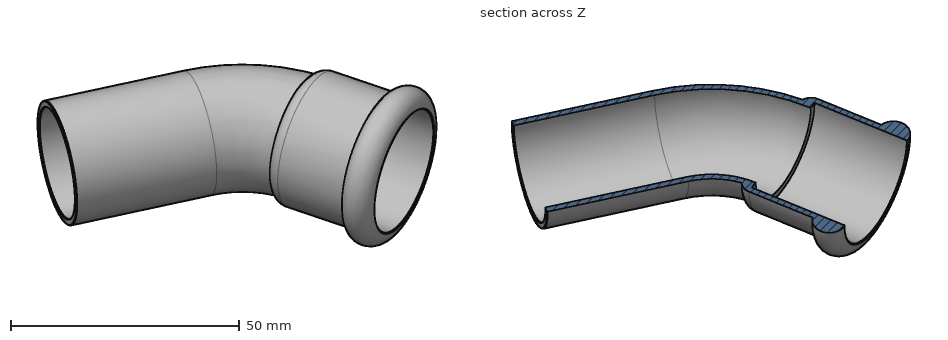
import cadquery as cq
import math


bend_angle = 45.0
bend_radius = 32.5
tube_diameter = 28.0
tube_bore = 25.0
spigot_length = 32.2
socket_diameter = 31.4
socket_bore = 28.4
socket_depth = 23.2
shoulder_arc_radius = 3.1
bead_diameter = 36.7
bead_arc_radius = 3.75
edge_chamfer = 0.2

tube_radius = tube_diameter / 2
socket_radius = socket_diameter / 2
bead_arc_center_radius = bead_diameter / 2 - bead_arc_radius
turn = math.radians(bend_angle)
bend_tangent_length = bend_radius * math.tan(turn / 2)
bend_start_x = bend_tangent_length
socket_end_x = bend_start_x + socket_depth


def arc_half_width(arc_radius, offset):
    """Half chord of an arc at a given distance from its centre."""
    return math.sqrt(arc_radius**2 - offset**2)


def point_on_bend(angle):
    """Centreline point of the bend, at an angle measured from its start."""
    return (
        bend_start_x - bend_radius * math.sin(angle),
        -bend_radius * (1 - math.cos(angle)),
    )


def bent_tube(diameter):
    """Solid rod along the bend and the straight spigot, starting at the socket."""
    bend_mid = point_on_bend(turn / 2)
    bend_end = point_on_bend(turn)
    spigot_end = (
        bend_end[0] - spigot_length * math.cos(turn),
        bend_end[1] - spigot_length * math.sin(turn),
    )
    path = (
        cq.Workplane("XY")
        .moveTo(bend_start_x, 0)
        .threePointArc(bend_mid, bend_end)
        .lineTo(*spigot_end)
    )
    return cq.Workplane("YZ", origin=(bend_start_x, 0, 0)).circle(diameter / 2).sweep(path)


def socket_body():
    """Solid of revolution about X: rounded shoulder, socket wall and end bead."""
    shoulder_center_radius = socket_radius - shoulder_arc_radius
    shoulder_offset = tube_radius - shoulder_center_radius
    shoulder_x = bend_start_x - arc_half_width(shoulder_arc_radius, shoulder_offset)
    shoulder_mid_angle = (math.asin(shoulder_offset / shoulder_arc_radius) + math.pi / 2) / 2
    shoulder_mid = (
        bend_start_x - shoulder_arc_radius * math.cos(shoulder_mid_angle),
        shoulder_center_radius + shoulder_arc_radius * math.sin(shoulder_mid_angle),
    )

    bead_x = socket_end_x - bead_arc_radius
    bead_offset = socket_radius - bead_arc_center_radius
    bead_start_x = bead_x - arc_half_width(bead_arc_radius, bead_offset)

    return (
        cq.Workplane("XY")
        .moveTo(shoulder_x, 0)
        .lineTo(shoulder_x, tube_radius)
        .threePointArc(shoulder_mid, (bend_start_x, socket_radius))
        .lineTo(bead_start_x, socket_radius)
        .threePointArc((bead_x, bead_diameter / 2), (socket_end_x, bead_arc_center_radius))
        .lineTo(socket_end_x, 0)
        .close()
        .revolve(360, (0, 0, 0), (1, 0, 0))
    )


def socket_cavity():
    """Bore that receives the mating tube, ending where the bend starts."""
    return (
        cq.Workplane("YZ", origin=(bend_start_x, 0, 0))
        .circle(socket_bore / 2)
        .extrude(socket_depth)
    )


outside = bent_tube(tube_diameter).union(socket_body())
elbow = outside.cut(bent_tube(tube_bore)).cut(socket_cavity())

spigot_direction = cq.Vector(-math.cos(turn), -math.sin(turn), 0)
spigot_face = cq.selectors.DirectionMinMaxSelector(spigot_direction)
elbow = elbow.faces(spigot_face).edges().chamfer(edge_chamfer)

result = elbow.faces(">X").edges(cq.selectors.RadiusNthSelector(0)).chamfer(edge_chamfer)